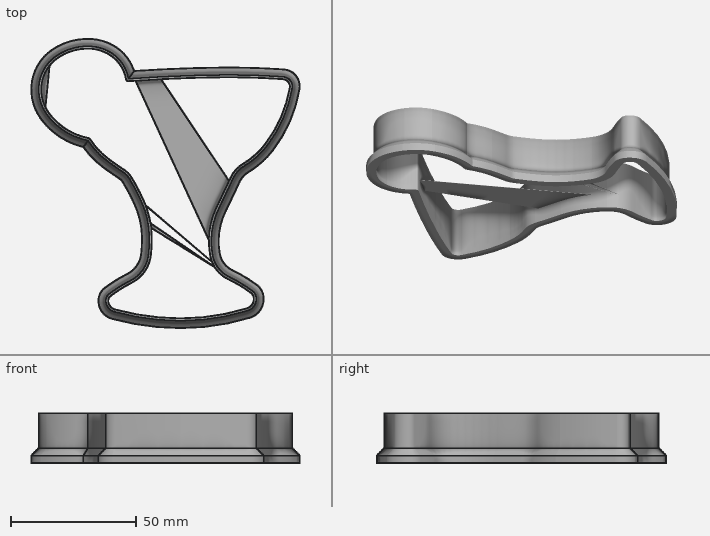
import math

import cadquery as cq


BLADE_HEIGHT = 20.0
BLADE_THICKNESS = 1.0

FLANGE_OVERHANG = 3.0
FLANGE_RIM_HEIGHT = 3.0
FLANGE_HEIGHT = FLANGE_RIM_HEIGHT + FLANGE_OVERHANG

WEB_THICKNESS = 0.1
WEB_TOP = FLANGE_HEIGHT

RIM_CORNER = (-14.82, 41.86)
RIM_CORNER_HEADING = 99.7
SIDE_CORNER = (-31.0, 17.2)
SIDE_CORNER_HEADING = -57.0

SLICE_JUNCTIONS = [
    (-22.69, 52.81),
    (-29.55, 54.81),
    (-43.55, 51.07),
    (-50.68, 38.34),
    (-47.54, 27.78),
]
LEFT_SIDE_JUNCTIONS = [
    (-22.97, 8.75),
    (-16.69, 4.37),
    (-14.57, 2.16),
    (-9.53, -7.42),
    (-6.48, -20.77),
    (-6.8, -28.56),
    (-13.85, -38.75),
]
FOOT_JUNCTIONS = [
    (-22.45, -44.1),
    (-23.85, -47.09),
    (-20.48, -51.27),
    (6.0, -54.87),
    (32.85, -50.84),
    (36.22, -45.37),
    (34.73, -42.93),
    (25.51, -37.38),
]
RIGHT_SIDE_JUNCTIONS = [
    (18.84, -28.75),
    (21.36, -9.85),
    (26.97, 1.99),
    (31.46, 6.99),
    (40.76, 15.32),
    (50.64, 38.13),
]
RIM_JUNCTIONS = [
    (47.08, 42.66),
    (22.6, 43.4),
]

BROAD_BRACE = [(-12.9, 43.0), (-2.6, 43.0), (25.5, 0.9), (24.0, -12.0), (18.4, -25.0)]
UPPER_STEM_BRACE = [(-8.7, -8.0), (-8.7, -8.2), (21.0, -33.4)]
LOWER_STEM_BRACE = [(-8.4, -14.2), (-8.0, -16.4), (21.0, -34.3)]
SLICE_SLIVER = [(-46.0, 50.0), (-48.3, 27.0), (-53.0, 27.0), (-53.0, 50.0)]
WEBS = [BROAD_BRACE, UPPER_STEM_BRACE, LOWER_STEM_BRACE, SLICE_SLIVER]


def tangent_arcs(start, heading, points):
    """Arcs from the start through the points, each tangent to the one before it."""
    position = cq.Vector(*start)
    direction = cq.Vector(math.cos(math.radians(heading)), math.sin(math.radians(heading)))
    arcs = []
    for point in points:
        end = cq.Vector(*point)
        arc = cq.Edge.makeTangentArc(position, direction, end)
        arcs.append(arc)
        position = end
        direction = arc.tangentAt(1)
    return arcs


def blade_outline():
    """Closed wire along the outer face of the blade, at the base plane."""
    slice_points = SLICE_JUNCTIONS + [SIDE_CORNER]
    goblet_points = LEFT_SIDE_JUNCTIONS + FOOT_JUNCTIONS + RIGHT_SIDE_JUNCTIONS
    goblet_points += RIM_JUNCTIONS + [RIM_CORNER]
    slice_arcs = tangent_arcs(RIM_CORNER, RIM_CORNER_HEADING, slice_points)
    goblet_arcs = tangent_arcs(SIDE_CORNER, SIDE_CORNER_HEADING, goblet_points)
    return cq.Wire.assembleEdges(slice_arcs + goblet_arcs)


BLADE_OUTLINE = blade_outline()


def outline(offset, height=0.0):
    """The blade outline moved outward by the offset and lifted to the height."""
    wire = BLADE_OUTLINE.offset2D(offset)[0] if offset else BLADE_OUTLINE
    return wire.translate(cq.Vector(0, 0, height))


def prism(wire, height):
    """Solid filling the wire and standing on it to the height."""
    return cq.Workplane(cq.Solid.extrudeLinear(wire, [], cq.Vector(0, 0, height)))


def sloped_flange():
    """Upright rim with a ruled slope narrowing up to the blade."""
    rim = prism(outline(FLANGE_OVERHANG), FLANGE_RIM_HEIGHT)
    slope_foot = outline(FLANGE_OVERHANG, FLANGE_RIM_HEIGHT)
    slope_head = outline(0, FLANGE_HEIGHT)
    slope = cq.Solid.makeLoft([slope_foot, slope_head], True)
    return rim.union(cq.Workplane(slope))


def cutter_body():
    """Blade standing on its flange, open from top to bottom."""
    blade = prism(outline(0), BLADE_HEIGHT)
    cavity = prism(outline(-BLADE_THICKNESS), BLADE_HEIGHT)
    return blade.union(sloped_flange()).cut(cavity)


def webs():
    """Thin flat webs level with the top of the flange, ending half way into the blade."""
    bottom = WEB_TOP - WEB_THICKNESS
    trim = prism(outline(-BLADE_THICKNESS / 2, bottom), WEB_THICKNESS)
    sheets = cq.Workplane("XY", origin=(0, 0, bottom))
    for polygon in WEBS:
        sheets = sheets.polyline(polygon).close()
    return sheets.extrude(WEB_THICKNESS).intersect(trim)


result = cutter_body().union(webs())